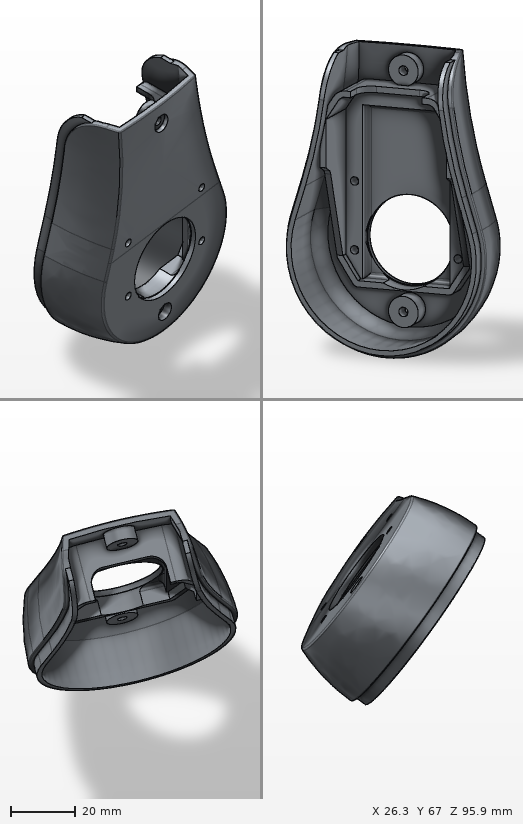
import cadquery as cq
import math


depth = 26.3
width = 67.0
height = 95.9
round_radius = width / 2
top_z = height - round_radius
flank_tilt = math.radians(17.2)
waist_z = 21.1
top_half_width = 21.1

lip_height = 4.1
lip_inset = 1.6
lip_top_z = 61.3
bore_inset = 3.3
barrel_radius = 60.4
side_arc_radius = 14.4
side_arc_z = top_z - side_arc_radius
back_thickness = 1.9
floor_x = depth - back_thickness
bore_taper_x = 16.1
bore_floor_inset = 5.8
step_edge_radius = 0.4
back_edge_radius = 0.9

bend_start_z = 14.9
bend_drop = 2.0
bend_side_drop = 2.7
bend_side_y = 30.7
bend_stations = (0, 0.6, 1.2)

tray_half_width = 20.2
tray_bottom_z = -13.0
tray_top_z = 48.4
tray_corner_y = 5.0
tray_corner_z = 7.6
tray_top_corner_radius = 2.9
tray_wall = 2.0
tray_floor_x = 20.7
low_wall_x = 18.2
side_step_z = 25.4
side_step_x = 7.8
side_step_drop = 1.9
side_step_radius = 2.4
slope_end_z = tray_bottom_z + tray_corner_z
notch_half_width = 12.0
notch_x = 14.0
notch_radius = 4.8

recess_half_width = 14.7
recess_top_z = 42.6
recess_edge_radius = 1.5

main_hole_diameter = 28.8
screw_hole_diameter = 2.7
screw_hole_y = 17.4
screw_hole_levels = (-3.9, 18.0)
boss_levels = (-21.8, 55.1)
boss_diameter = 10.0
boss_hole_diameter = 3.0
boss_front_x = 18.3
head_bore_diameter = 6.0
head_bore_depth = 2.9


def waist_curve():
    """Centre and radius of the concave arc that carries each flank past the open top."""
    cos_t, sin_t = math.cos(flank_tilt), math.sin(flank_tilt)
    start_y = round_radius * cos_t - (waist_z - round_radius * sin_t) * math.tan(flank_tilt)
    run_y, run_z = top_half_width - start_y, top_z - waist_z
    radius = (run_y**2 + run_z**2) / (2 * (run_y * cos_t + run_z * sin_t))
    return start_y + radius * cos_t, waist_z + radius * sin_t, radius


def outline(x, inset):
    """Teardrop wire at depth x, drawn inside the full outline by the inset."""
    centre_y, centre_z, waist_radius = waist_curve()
    radius = round_radius - inset
    arc_radius = waist_radius + inset

    def on_round(angle):
        return radius * math.cos(angle), radius * math.sin(angle)

    def on_waist(angle):
        return centre_y - arc_radius * math.cos(angle), centre_z - arc_radius * math.sin(angle)

    def mirrored(point):
        return -point[0], point[1]

    tangent = on_round(flank_tilt)
    waist = on_waist(flank_tilt)
    middle = on_waist(flank_tilt / 2)
    end = on_waist(0)
    return (
        cq.Workplane("YZ", origin=(x, 0, 0))
        .moveTo(*tangent)
        .lineTo(*waist)
        .threePointArc(middle, end)
        .lineTo(*mirrored(end))
        .threePointArc(mirrored(middle), mirrored(waist))
        .lineTo(*mirrored(tangent))
        .threePointArc((0, -radius), tangent)
        .close()
        .wires()
        .val()
    )


def outline_loft(stations, ruled):
    """Solid through the outlines given as (x, inset) stations."""
    wires = [outline(x, inset) for x, inset in stations]
    return cq.Workplane(cq.Solid.makeLoft(wires, ruled))


def side_profile(front_x, highest_z):
    """Wide block whose top front corner is rounded, used to trim a body in side view."""
    low_z = -2 * round_radius
    half_span = 2 * round_radius
    arc_start = (front_x, side_arc_z)
    arc_run = side_arc_radius * math.sqrt(0.5)
    arc_middle = (front_x + side_arc_radius - arc_run, side_arc_z + arc_run)
    profile = (
        cq.Workplane("XZ")
        .moveTo(front_x, low_z)
        .lineTo(*arc_start)
        .threePointArc(arc_middle, (front_x + side_arc_radius, top_z))
        .lineTo(2 * depth, top_z)
        .lineTo(2 * depth, low_z)
        .close()
        .extrude(half_span, both=True)
    )
    ceiling = cq.Workplane().box(4 * depth, 3 * half_span, top_z).translate((0, 0, highest_z + top_z / 2))
    return profile.cut(ceiling)


def behind_back(face_x):
    """Everything behind a back surface that is flat below and bends forward towards the top."""
    far_x = 2 * depth
    wires = []
    for share in bend_stations:
        z = bend_start_z + share * (top_z - bend_start_z)
        centre_x = face_x - bend_drop * share**2
        side_x = centre_x - bend_side_drop * share**2
        wires.append(
            cq.Workplane("XY", origin=(0, 0, z))
            .moveTo(side_x, -bend_side_y)
            .spline([(centre_x, 0), (side_x, bend_side_y)], includeCurrent=True)
            .lineTo(far_x, bend_side_y)
            .lineTo(far_x, -bend_side_y)
            .close()
            .wires()
            .val()
        )
    bend = cq.Workplane(cq.Solid.makeLoft(wires))
    flat = cq.Workplane("YZ", origin=(face_x, 0, 0)).rect(4 * round_radius, 4 * top_z).extrude(far_x - face_x)
    return flat.union(bend)


def make_body():
    """Solid outer form: barrel-shaped walls, bent back and rounded top front corner."""
    stations = []
    for share in (0, 1 / 3, 2 / 3, 1):
        run = share * (depth - lip_height)
        inset = barrel_radius - math.sqrt(barrel_radius**2 - run**2)
        stations.append((lip_height + run, inset))
    body = outline_loft(stations, False)
    body = body.cut(behind_back(depth))
    return body.intersect(side_profile(lip_height, top_z))


def make_lip():
    """Inset lip around the open rim, reaching back into the body."""
    lip = outline_loft([(0, lip_inset), (bore_taper_x, lip_inset)], True)
    return lip.intersect(side_profile(0, lip_top_z))


def make_cavity():
    """Room inside the shell: straight at the rim, then closing in towards the floor."""
    straight = outline_loft([(-lip_height, bore_inset), (bore_taper_x, bore_inset)], True)
    taper = outline_loft([(bore_taper_x, bore_inset), (floor_x, bore_floor_inset)], True)
    return straight.union(taper).cut(behind_back(floor_x))


def tray_interior(front_x, back_x):
    """Prism of the eight-sided room inside the tray walls, with rounded upper corners."""
    inner_y = tray_half_width - tray_corner_y
    half = [
        (inner_y, tray_bottom_z),
        (tray_half_width, tray_bottom_z + tray_corner_z),
        (tray_half_width, tray_top_z - tray_corner_z),
        (inner_y, tray_top_z),
    ]
    points = half + [(-y, z) for y, z in reversed(half)]
    prism = cq.Workplane("YZ", origin=(front_x, 0, 0)).polyline(points).close().extrude(back_x - front_x)
    return prism.edges("|X and >Z").fillet(tray_top_corner_radius)


def side_wall_cut():
    """Removes the front of the tray walls below the side step and slopes the side walls."""
    clear_x = -depth
    clear_z = 2 * tray_bottom_z
    profile = (
        cq.Workplane("XZ")
        .moveTo(clear_x, side_step_z)
        .lineTo(lip_height, side_step_z)
        .lineTo(side_step_x, side_step_z - side_step_drop)
        .lineTo(low_wall_x, slope_end_z)
        .lineTo(low_wall_x, clear_z)
        .lineTo(clear_x, clear_z)
        .close()
        .extrude(2 * tray_half_width, both=True)
    )
    corner = cq.selectors.NearestToPointSelector((side_step_x, 0, side_step_z - side_step_drop))
    return profile.edges("|Y").edges(corner).fillet(side_step_radius)


def notch_cut():
    """U-shaped notch in the upper tray wall."""
    notch = cq.Workplane("XY", origin=(0, 0, tray_top_z - tray_corner_z))
    notch = notch.rect(2 * notch_x, 2 * notch_half_width).extrude(2 * tray_corner_z)
    return notch.edges("|Z and >X").fillet(notch_radius)


def make_tray(cavity):
    """Tray walls and thick floor, kept inside the cavity."""
    section = tray_interior(lip_height, depth).faces("<X").wires().val()
    plane = cq.Workplane("YZ", origin=(lip_height, 0, 0))
    outer = plane.add(section.offset2D(tray_wall)).toPending().extrude(depth - lip_height)
    return outer.cut(side_wall_cut()).cut(notch_cut()).intersect(cavity)


def recess_cut():
    """Rectangular recess with rounded floor edges."""
    length = recess_top_z - tray_bottom_z
    box = cq.Workplane("YZ", origin=(tray_floor_x, 0, tray_bottom_z + length / 2))
    box = box.rect(2 * recess_half_width, length).extrude(floor_x - tray_floor_x)
    return box.faces(">X").edges().fillet(recess_edge_radius)


def rod(y, z, diameter, front_x, back_x):
    """Cylinder along X."""
    return cq.Workplane("YZ", origin=(front_x, y, z)).circle(diameter / 2).extrude(back_x - front_x)


def round_body_edges(body):
    """Rounds the rim of the back face and the edge around the step in front of the lip."""
    rear = []
    front = []
    for edge in body.edges().vals():
        box = edge.BoundingBox()
        if box.zlen < step_edge_radius:
            continue
        if box.xmin > side_arc_radius + lip_height:
            rear.append(edge)
        elif box.xmax < floor_x:
            front.append(edge)
    return body.newObject(rear).fillet(back_edge_radius).newObject(front).fillet(step_edge_radius)


def drill_boss(part, z):
    """Adds a hollow screw boss with a bore for the screw head in the back face."""
    part = part.union(rod(0, z, boss_diameter, boss_front_x, floor_x))
    part = part.cut(rod(0, z, boss_hole_diameter, 0, depth))
    return part.cut(rod(0, z, head_bore_diameter, depth - head_bore_depth, depth))


cavity = make_cavity()
result = round_body_edges(make_body()).union(make_lip()).cut(cavity)
result = result.union(make_tray(cavity))
result = result.cut(tray_interior(lip_height, tray_floor_x)).cut(recess_cut())

for z in boss_levels:
    result = drill_boss(result, z)

for z in screw_hole_levels:
    for y in (-screw_hole_y, screw_hole_y):
        result = result.cut(rod(y, z, screw_hole_diameter, 0, depth))

result = result.cut(rod(0, 0, main_hole_diameter, 0, depth))
result = result.cut(rod(0, 0, 2 * recess_half_width, 0, floor_x))